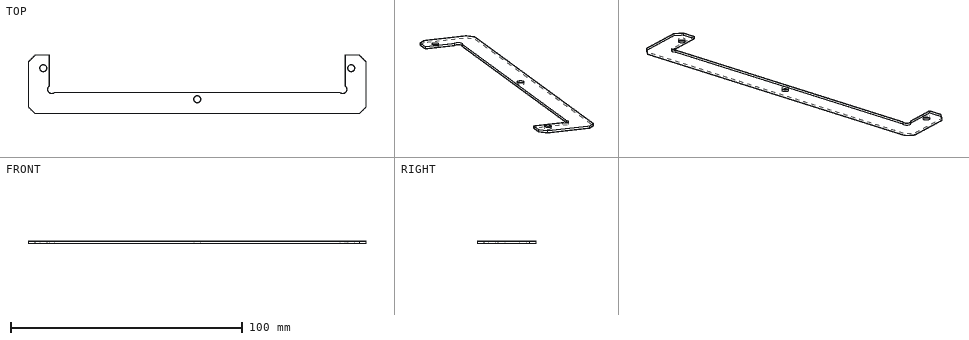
import cadquery as cq

length = 146.0
depth = 25.4
thickness = 1.0
corner_chamfer = 2.9

arm_width = 9.0
rail_width = 9.2

relief_diameter = 3.5
relief_inset_x = 1.0
relief_inset_y = 1.3

hole_diameter = 2.9
arm_hole_from_side = 6.4
arm_hole_from_tip = 5.7
rail_hole_from_edge = 6.3

half_length = length / 2
half_depth = depth / 2
inner_x = half_length - arm_width
inner_y = rail_width - half_depth


def build_plate():
    """Rectangular plate with all four outer corners chamfered."""
    plate = cq.Workplane("XY").box(length, depth, thickness)
    return plate.edges("|Z").chamfer(corner_chamfer)


def build_opening():
    """Space between the arms, open towards +Y."""
    opening_depth = depth - rail_width
    return (
        cq.Workplane("XY")
        .center(0, inner_y + opening_depth / 2)
        .rect(2 * inner_x, opening_depth)
        .extrude(thickness, both=True)
    )


def build_cylinders(points, diameter):
    """Cutting cylinders that pass through the plate."""
    return (
        cq.Workplane("XY")
        .pushPoints(points)
        .circle(diameter / 2)
        .extrude(thickness, both=True)
    )


relief_x = inner_x - relief_inset_x
relief_y = inner_y + relief_inset_y
relief_points = [(side * relief_x, relief_y) for side in (-1, 1)]

arm_hole_x = half_length - arm_hole_from_side
arm_hole_y = half_depth - arm_hole_from_tip
hole_points = [(side * arm_hole_x, arm_hole_y) for side in (-1, 1)]
hole_points.append((0, rail_hole_from_edge - half_depth))

result = (
    build_plate()
    .cut(build_opening())
    .cut(build_cylinders(relief_points, relief_diameter))
    .cut(build_cylinders(hole_points, hole_diameter))
)